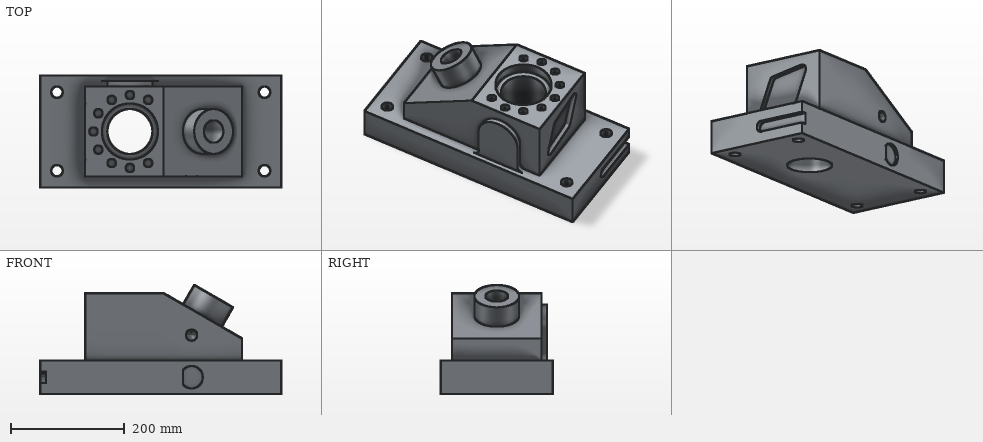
import math

import cadquery as cq

MODULE = 39.37

BASE_LENGTH = 10.75 * MODULE
BASE_WIDTH = 5 * MODULE
BASE_HEIGHT = 1.5 * MODULE
FRONT_FACE_Y = -BASE_WIDTH / 2
MOUNT_HOLE_DIAMETER = 0.5 * MODULE
MOUNT_HOLE_INSET = 0.75 * MODULE

BLOCK_START_X = 2 * MODULE
BLOCK_LENGTH = 7 * MODULE
BLOCK_WIDTH = 4 * MODULE
BLOCK_HEIGHT = 3 * MODULE
BLOCK_END_X = BLOCK_START_X + BLOCK_LENGTH
BLOCK_TOP_Z = BASE_HEIGHT + BLOCK_HEIGHT
SLOPE_ANGLE = 30
SLOPE_START_X = 5.5 * MODULE
SLOPE_COS = math.cos(math.radians(SLOPE_ANGLE))
SLOPE_SIN = math.sin(math.radians(SLOPE_ANGLE))
SLOPE_END_Z = BLOCK_TOP_Z - (BLOCK_END_X - SLOPE_START_X) * SLOPE_SIN / SLOPE_COS

BORE_X = 4 * MODULE
BORE_DIAMETER = 2 * MODULE
COUNTERBORE_DIAMETER = 2.5 * MODULE
COUNTERBORE_DEPTH = 0.5 * MODULE
RING_RADIUS = 1.625 * MODULE
RING_HOLE_DIAMETER = 0.375 * MODULE
RING_HOLE_DEPTH = 0.5 * MODULE
RING_FIRST_ANGLE = 60
RING_LAST_ANGLE = 300
RING_STEP_ANGLE = 30

BOSS_SLOPE_DISTANCE = 2 * MODULE
BOSS_DIAMETER = 2 * MODULE
BOSS_HEIGHT = 1 * MODULE
BOSS_BORE_DIAMETER = 1 * MODULE
BOSS_BORE_DEPTH = 2 * MODULE
BOSS_X = SLOPE_START_X + BOSS_SLOPE_DISTANCE * SLOPE_COS
BOSS_Z = BLOCK_TOP_Z - BOSS_SLOPE_DISTANCE * SLOPE_SIN

SIDE_HOLE_X = 6.75 * MODULE
SIDE_HOLE_Z = BASE_HEIGHT + 1.125 * MODULE
SIDE_HOLE_DIAMETER = 0.5 * MODULE
SIDE_HOLE_DEPTH = 0.5 * MODULE
DRILL_POINT_ANGLE = 118

D_POCKET_DIAMETER = 1 * MODULE
D_POCKET_FLAT_OFFSET = 0.38 * MODULE
D_POCKET_DEPTH = 0.125 * MODULE

SLOT_WIDTH = 0.5 * MODULE
SLOT_LENGTH = 2.5 * MODULE
SLOT_DEPTH = 0.25 * MODULE

DIAMOND_SHARP_CORNER = (1 * MODULE, 0.75 * MODULE)
DIAMOND_BLUNT_CORNER = (-0.5 * MODULE, 0.5 * MODULE)
DIAMOND_CORNER_RADIUS = 0.25 * MODULE
DIAMOND_DEPTH = 0.25 * MODULE

PAD_RADIUS = 1 * MODULE
PAD_ARCH_CENTRE_Z = 3 * MODULE
PAD_FOOT_RADIUS = 0.25 * MODULE
PAD_THICKNESS = 0.25 * MODULE


def cylinder(diameter, height, base_point, direction):
    return cq.Solid.makeCylinder(diameter / 2, height, cq.Vector(*base_point), cq.Vector(*direction))


def make_base():
    plate = cq.Workplane("XY").box(BASE_LENGTH, BASE_WIDTH, BASE_HEIGHT, centered=(False, True, False))
    hole_span_x = BASE_LENGTH - 2 * MOUNT_HOLE_INSET
    hole_span_y = BASE_WIDTH - 2 * MOUNT_HOLE_INSET
    return (
        plate.faces(">Z")
        .workplane(centerOption="CenterOfBoundBox")
        .rect(hole_span_x, hole_span_y, forConstruction=True)
        .vertices()
        .hole(MOUNT_HOLE_DIAMETER)
    )


def make_block():
    profile = [
        (BLOCK_START_X, BASE_HEIGHT),
        (BLOCK_END_X, BASE_HEIGHT),
        (BLOCK_END_X, SLOPE_END_Z),
        (SLOPE_START_X, BLOCK_TOP_Z),
        (BLOCK_START_X, BLOCK_TOP_Z),
    ]
    return cq.Workplane("XZ").polyline(profile).close().extrude(BLOCK_WIDTH / 2, both=True)


def make_pad():
    foot_top_z = BASE_HEIGHT + PAD_FOOT_RADIUS
    foot_half_width = PAD_RADIUS + PAD_FOOT_RADIUS
    left_x = BORE_X - PAD_RADIUS
    right_x = BORE_X + PAD_RADIUS
    back_of_block = cq.Workplane("XZ", origin=(0, BLOCK_WIDTH / 2, 0))
    return (
        back_of_block.moveTo(BORE_X - foot_half_width, BASE_HEIGHT)
        .radiusArc((left_x, foot_top_z), -PAD_FOOT_RADIUS)
        .lineTo(left_x, PAD_ARCH_CENTRE_Z)
        .threePointArc((BORE_X, PAD_ARCH_CENTRE_Z + PAD_RADIUS), (right_x, PAD_ARCH_CENTRE_Z))
        .lineTo(right_x, foot_top_z)
        .radiusArc((BORE_X + foot_half_width, BASE_HEIGHT), -PAD_FOOT_RADIUS)
        .close()
        .extrude(-PAD_THICKNESS)
    )


def make_boss():
    return cylinder(BOSS_DIAMETER, BOSS_HEIGHT, (BOSS_X, 0, BOSS_Z), (SLOPE_SIN, 0, SLOPE_COS))


def make_boss_bore():
    mouth = (BOSS_X + BOSS_HEIGHT * SLOPE_SIN, 0, BOSS_Z + BOSS_HEIGHT * SLOPE_COS)
    return cylinder(BOSS_BORE_DIAMETER, BOSS_BORE_DEPTH, mouth, (-SLOPE_SIN, 0, -SLOPE_COS))


def drill_from_top(body, x, y, diameter, depth):
    return body.cut(cylinder(diameter, depth, (x, y, BLOCK_TOP_Z), (0, 0, -1)))


def cut_main_bore(body):
    body = drill_from_top(body, BORE_X, 0, BORE_DIAMETER, BLOCK_TOP_Z)
    return drill_from_top(body, BORE_X, 0, COUNTERBORE_DIAMETER, COUNTERBORE_DEPTH)


def cut_hole_ring(body):
    for angle in range(RING_FIRST_ANGLE, RING_LAST_ANGLE + 1, RING_STEP_ANGLE):
        x = BORE_X + RING_RADIUS * math.cos(math.radians(angle))
        y = RING_RADIUS * math.sin(math.radians(angle))
        body = drill_from_top(body, x, y, RING_HOLE_DIAMETER, RING_HOLE_DEPTH)
    return body


def make_side_hole():
    radius = SIDE_HOLE_DIAMETER / 2
    point_length = radius / math.tan(math.radians(DRILL_POINT_ANGLE / 2))
    mouth_y = -BLOCK_WIDTH / 2
    shoulder_y = mouth_y + SIDE_HOLE_DEPTH
    half_profile = [
        (0, mouth_y),
        (radius, mouth_y),
        (radius, shoulder_y),
        (0, shoulder_y + point_length),
    ]
    drill_axis = cq.Workplane("XY", origin=(SIDE_HOLE_X, 0, SIDE_HOLE_Z))
    return drill_axis.polyline(half_profile).close().revolve(360, (0, 0), (0, 1))


def make_d_pocket():
    radius = D_POCKET_DIAMETER / 2
    flat_half_height = math.sqrt(radius**2 - D_POCKET_FLAT_OFFSET**2)
    front_face = cq.Workplane("XZ", origin=(SIDE_HOLE_X, FRONT_FACE_Y, BASE_HEIGHT / 2))
    return (
        front_face.moveTo(-D_POCKET_FLAT_OFFSET, -flat_half_height)
        .threePointArc((radius, 0), (-D_POCKET_FLAT_OFFSET, flat_half_height))
        .close()
        .extrude(-D_POCKET_DEPTH)
    )


def make_end_slot():
    arc_centre_y = FRONT_FACE_Y + SLOT_LENGTH - SLOT_WIDTH / 2
    half_width = SLOT_WIDTH / 2
    left_end = cq.Workplane("YZ", origin=(0, 0, BASE_HEIGHT / 2))
    return (
        left_end.moveTo(FRONT_FACE_Y, -half_width)
        .lineTo(arc_centre_y, -half_width)
        .threePointArc((arc_centre_y + half_width, 0), (arc_centre_y, half_width))
        .lineTo(FRONT_FACE_Y, half_width)
        .close()
        .extrude(SLOT_DEPTH)
    )


def make_diamond_pocket():
    sharp_y, sharp_z = DIAMOND_SHARP_CORNER
    blunt_y, blunt_z = DIAMOND_BLUNT_CORNER
    arc_centres = [
        (-sharp_y, sharp_z),
        (-blunt_y, blunt_z),
        (sharp_y, -sharp_z),
        (blunt_y, -blunt_z),
    ]
    left_face = cq.Workplane("YZ", origin=(BLOCK_START_X, 0, BASE_HEIGHT + BLOCK_HEIGHT / 2))
    return left_face.polyline(arc_centres).close().offset2D(DIAMOND_CORNER_RADIUS).extrude(DIAMOND_DEPTH)


result = make_base().union(make_block()).union(make_pad()).union(make_boss())
result = cut_main_bore(result)
result = cut_hole_ring(result)
for cutter in (
    make_boss_bore(),
    make_side_hole(),
    make_d_pocket(),
    make_end_slot(),
    make_diamond_pocket(),
):
    result = result.cut(cutter)